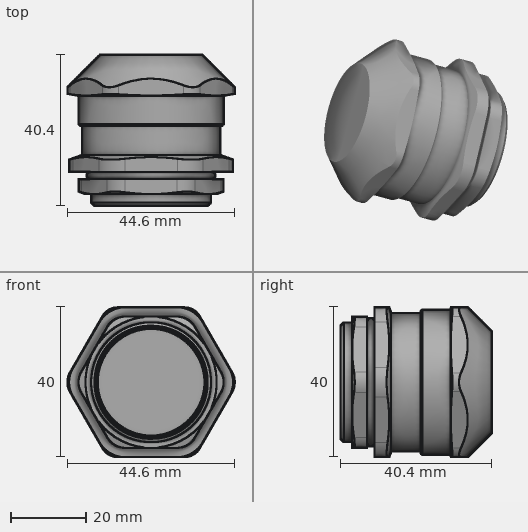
import cadquery as cq
import math


thread_diameter = 32.0
thread_length = 9.05
thread_chamfer = 0.9
recess_mouth_diameter = 29.3
recess_floor_diameter = 28.5
recess_depth = 0.4

locknut_width = 35.0
locknut_corner_radius = 5.5
locknut_thickness = 4.0
flange_width = 40.0
flange_corner_radius = 7.9
flange_thickness = 4.5
cap_width = 40.0
cap_corner_radius = 5.0

seal_section_diameter = 1.9
seal_outer_diameter = 34.4

body_diameter = 37.0
collar_diameter = 38.8
collar_chamfer = 0.5
collar_start = 12.3
cap_start = 20.3
cap_end = 31.3
cap_tip_diameter = 27.2

nut_bevel_angle = 20.0
cap_bevel_angle = 10.0
cap_cone_angle = 45.0

locknut_end = -seal_section_diameter
locknut_start = locknut_end - locknut_thickness


def cylinder(diameter, start, end):
    """Solid cylinder on the Y axis between two Y positions."""
    plane = cq.Workplane("XZ", origin=(0, start, 0))
    return plane.circle(diameter / 2).extrude(start - end)


def hexagon(width, corner_radius, start, end):
    """Hexagonal prism on the Y axis with rounded corners pointing along +X and -X."""
    corner_diameter = width / math.cos(math.pi / 6)
    prism = cq.Workplane("XZ", origin=(0, start, 0)).polygon(6, corner_diameter).extrude(start - end)
    return prism.edges("|Y").fillet(corner_radius)


def bevel(prism, face_y, face_diameter, angle, far_y):
    """Keep the part of a prism inside a cone that widens from face_y toward far_y."""
    length = abs(far_y - face_y)
    far_radius = face_diameter / 2 + length / math.tan(math.radians(angle))
    profile = [(0, face_y), (face_diameter / 2, face_y), (far_radius, far_y), (0, far_y)]
    cone = cq.Workplane("XY").polyline(profile).close().revolve(360, (0, 0, 0), (0, 1, 0))
    return prism.intersect(cone)


def make_thread():
    """Entry thread with a chamfered end and a shallow tapered recess in the end face."""
    thread = cylinder(thread_diameter, -thread_length, 0).faces("<Y").chamfer(thread_chamfer)
    floor_y = recess_depth - thread_length
    profile = [
        (0, -thread_length),
        (recess_mouth_diameter / 2, -thread_length),
        (recess_floor_diameter / 2, floor_y),
        (0, floor_y),
    ]
    recess = cq.Workplane("XY").polyline(profile).close().revolve(360, (0, 0, 0), (0, 1, 0))
    return thread.cut(recess)


def make_locknut():
    """Locknut bevelled on the side facing the thread end."""
    prism = hexagon(locknut_width, locknut_corner_radius, locknut_start, locknut_end)
    return bevel(prism, locknut_start, locknut_width, nut_bevel_angle, locknut_end)


def make_seal():
    """Round-section sealing ring between the locknut and the flange."""
    section_radius = seal_section_diameter / 2
    centre_radius = seal_outer_diameter / 2 - section_radius
    section = cq.Workplane("XY").center(-centre_radius, -section_radius).circle(section_radius)
    return section.revolve(360, (centre_radius, 0, 0), (centre_radius, 1, 0))


def make_flange():
    """Body flange bevelled down to the body diameter on its cap side."""
    prism = hexagon(flange_width, flange_corner_radius, 0, flange_thickness)
    return bevel(prism, flange_thickness, body_diameter, nut_bevel_angle, 0)


def make_body():
    """Cylindrical body from the flange into the cap, with the wider cap collar."""
    body = cylinder(body_diameter, 0, cap_start)
    collar = cylinder(collar_diameter, collar_start, cap_start).faces("<Y").chamfer(collar_chamfer)
    return body.union(collar)


def make_cap():
    """Hexagonal cap with a conical tip and a slight bevel starting at the collar."""
    prism = hexagon(cap_width, cap_corner_radius, cap_start, cap_end)
    tapered = bevel(prism, cap_end, cap_tip_diameter, cap_cone_angle, cap_start)
    return bevel(tapered, cap_start, collar_diameter, cap_bevel_angle, cap_end)


result = (
    make_thread()
    .union(make_locknut())
    .union(make_seal())
    .union(make_flange())
    .union(make_body())
    .union(make_cap())
)